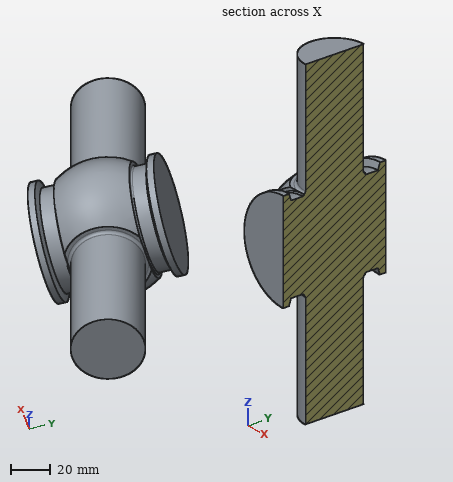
import cadquery as cq

pipe_length = 204.0
pipe_radius = 38.1 / 2
pipe_fillet = 1.6

ball_radius = 36.5
body_half_depth = 20.0
body_half_height = 28.5

neck_radius = 55.7 / 2
neck_fillet = 0.8
flange_radius = 63.8 / 2
flange_face = 67.0 / 2
flange_rim = 3.9
flange_taper_length = 1.5


def body_slab(depth, height):
    """Centred block as wide as the ball, with the given Y depth and Z height."""
    return cq.Workplane("XY").box(2 * ball_radius, depth, height)


def ball_body():
    """Sphere trimmed by flat faces in front, behind, above and below."""
    trim = body_slab(2 * body_half_depth, 2 * body_half_height)
    return cq.Workplane("YZ").sphere(ball_radius).intersect(trim)


def shaft_fillet(shaft_radius, fillet, seat):
    """Concave ring around a Z-axis shaft where it leaves a flat face at height `seat`."""
    bend = fillet * (1 - 0.5 ** 0.5)
    return (
        cq.Workplane("XZ")
        .moveTo(0, seat)
        .lineTo(shaft_radius + fillet, seat)
        .threePointArc((shaft_radius + bend, seat + bend), (shaft_radius, seat + fillet))
        .lineTo(0, seat + fillet)
        .close()
        .revolve(360, (0, 0, 0), (0, 1, 0))
    )


def flanged_neck():
    """Neck flaring through a shallow cone into a flange about the Y axis, on the +Y side."""
    rim_back = flange_face - flange_rim
    taper_end = rim_back - flange_taper_length
    return (
        cq.Workplane("XY")
        .moveTo(0, 0)
        .lineTo(neck_radius, 0)
        .lineTo(neck_radius, taper_end)
        .lineTo(flange_radius, rim_back)
        .lineTo(flange_radius, flange_face)
        .lineTo(0, flange_face)
        .close()
        .revolve(360, (0, 0, 0), (0, 1, 0))
    )


depth_slab = body_slab(2 * body_half_depth, pipe_length)
pipe_ring = shaft_fillet(pipe_radius, pipe_fillet, body_half_height).intersect(depth_slab)
height_slab = body_slab(2 * flange_face, 2 * body_half_height)
neck_ring = (
    shaft_fillet(neck_radius, neck_fillet, body_half_depth)
    .rotate((0, 0, 0), (1, 0, 0), -90)
    .intersect(height_slab)
)
neck = flanged_neck()

result = ball_body().union(cq.Workplane("XY").cylinder(pipe_length, pipe_radius))
result = result.union(pipe_ring).union(pipe_ring.mirror("XY"))
for feature in (neck, neck_ring):
    result = result.union(feature).union(feature.mirror("XZ"))